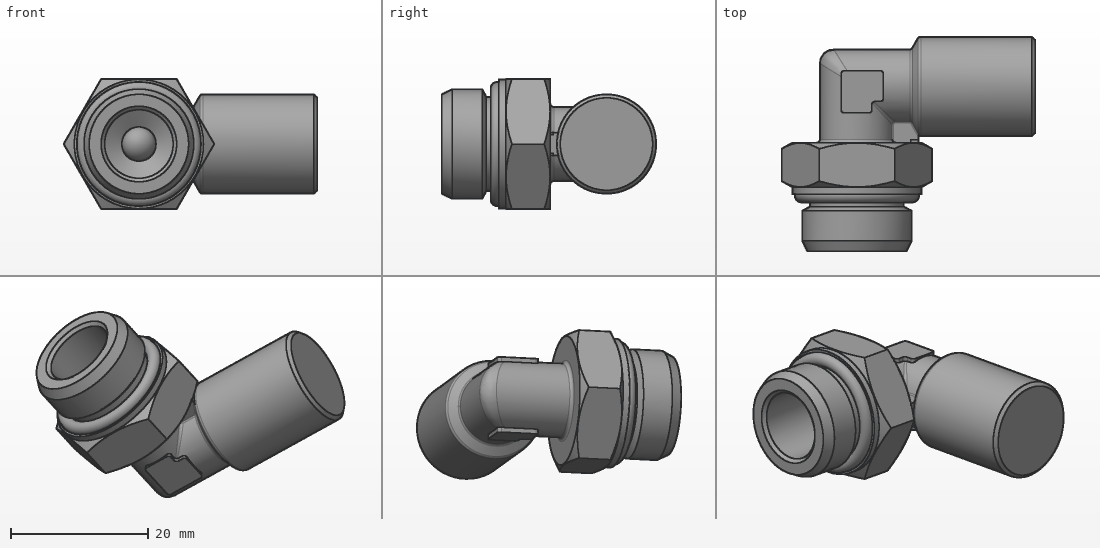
import cadquery as cq
import math


overall_length = 36.97

tube_diameter = 14.5
tube_shoulder_x = 9.0
tube_cone_slope = 60
tube_end_chamfer = 0.5
tube_shoulder_fillet = 0.5
tube_neck_fillet = 0.45

elbow_diameter = 10.8
elbow_corner_fillet = 2.0
elbow_crotch_fillet = 0.45
base_flare_radius = 0.5

hex_top_y = -8.17
hex_bottom_y = -14.68
collar_bottom_y = -15.68
ring_bottom_y = -16.9
neck_bottom_y = -17.5
thread_top_y = -18.1
thread_bottom_y = -22.45
plug_end_y = -24.0
hex_across_flats = 19.0
hex_chamfer_diameter = 18.8
hex_chamfer_angle = 30
collar_diameter = 18.8
ring_diameter = 18.1
ring_section_radius = 1.0
neck_diameter = 13.7
thread_diameter = 16.0
plug_end_diameter = 14.5

bore_diameter = 10
bore_chamfer = 0.5
bore_bottom_y = -14.05
seat_slope = 30
ball_diameter = 5.0

pad_height = 5.6
pad_size = 6.15
pad_notch = 1.65
pad_left_x = -2.3
pad_top_y = 2.3
pad_corner_fillet = 0.45

web_thickness = 3.25
web_fillet = 0.22
web_step_length = 1.1
web_step_height = 0.4
web_step_depth = 0.3

tolerance = 0.05

elbow_radius = elbow_diameter / 2
tube_radius = tube_diameter / 2
hex_corner_radius = hex_across_flats / math.sqrt(3)
tube_end_x = overall_length - hex_corner_radius
bore_radius = bore_diameter / 2
ball_radius = ball_diameter / 2
leg_length = -hex_top_y


def tan_deg(angle):
    return math.tan(math.radians(angle))


def revolve_about_y(profile):
    return profile.close().revolve(360, (0, 0, 0), (0, 1, 0))


def make_elbow():
    """Two equal cylinders mitred at the origin, rounded at the corner and in the crotch."""
    far = 2 * leg_length
    x_leg = cq.Workplane("YZ").circle(elbow_radius).extrude(leg_length, both=True)
    y_leg_plane = cq.Workplane("XZ").transformed(rotate=(0, 0, 180))
    y_leg = y_leg_plane.circle(elbow_radius).extrude(leg_length, both=True)
    mitre_half = (
        cq.Workplane("XY")
        .polyline([(-far, far), (far, far), (far, -far)])
        .close()
        .extrude(elbow_diameter, both=True)
    )
    sharp = x_leg.intersect(mitre_half).union(y_leg.cut(mitre_half))

    pole_half_width = pad_size - pad_notch + pad_left_x
    rounded_height = math.sqrt(elbow_radius**2 - pole_half_width**2)
    rounded = sharp.intersect(cq.Workplane("XY").box(2 * far, 2 * far, 2 * rounded_height))
    rounded = rounded.edges("%ELLIPSE").edges("<X").fillet(elbow_corner_fillet)
    crotch = cq.selectors.BoxSelector((tolerance, -far, -far), (far, -tolerance, far))
    rounded = rounded.edges("%ELLIPSE").edges(crotch).fillet(elbow_crotch_fillet)

    outer_corner = cq.Workplane("XY").box(far, far, far).translate((-far / 2, far / 2, 0))
    return rounded.union(sharp.cut(outer_corner), clean=True)


def make_pads():
    """Square pads on +Z and -Z, notched towards the crotch."""
    right_x = pad_left_x + pad_size
    bottom_y = pad_top_y - pad_size
    return (
        cq.Workplane("XY")
        .moveTo(pad_left_x, pad_top_y)
        .lineTo(right_x, pad_top_y)
        .lineTo(right_x, bottom_y + pad_notch)
        .lineTo(right_x - pad_notch, bottom_y + pad_notch)
        .lineTo(right_x - pad_notch, bottom_y)
        .lineTo(pad_left_x, bottom_y)
        .close()
        .extrude(pad_height, both=True)
        .edges("|Z")
        .fillet(pad_corner_fillet)
    )


def make_tube():
    """Closed tube body with a conical shoulder that runs into the elbow."""
    tube_start_x = leg_length / 2
    cone_length = (tube_radius - elbow_radius) / tan_deg(tube_cone_slope)
    tube = (
        cq.Workplane("XY")
        .moveTo(tube_start_x, 0)
        .lineTo(tube_start_x, elbow_radius)
        .lineTo(tube_shoulder_x - cone_length, elbow_radius)
        .lineTo(tube_shoulder_x, tube_radius)
        .lineTo(tube_end_x, tube_radius)
        .lineTo(tube_end_x, 0)
        .close()
        .revolve(360, (0, 0, 0), (1, 0, 0))
    )
    tube = tube.faces(">X").edges().chamfer(tube_end_chamfer)
    rims = (
        (tube_shoulder_x, tube_radius, tube_shoulder_fillet),
        (tube_shoulder_x - cone_length, elbow_radius, tube_neck_fillet),
    )
    for rim_x, rim_radius, fillet_radius in rims:
        reach = rim_radius + tolerance
        rim = cq.selectors.BoxSelector(
            (rim_x - tolerance, -reach, -reach), (rim_x + tolerance, reach, reach)
        )
        tube = tube.edges("%CIRCLE").edges(rim).fillet(fillet_radius)
    return tube


def add_web(body):
    """Add the flat web of the inner corner, blended into both legs and the shoulder."""
    web = (
        cq.Workplane("XY")
        .box(tube_shoulder_x, leg_length, web_thickness, centered=(False, False, True))
        .translate((0, hex_top_y, 0))
    )
    body = body.union(web)
    web_sides = (-web_thickness / 2, web_thickness / 2)
    blend_edges = [
        cq.selectors.BoxSelector(
            (elbow_radius / 2, hex_top_y + tolerance, side_z - tolerance),
            (tube_shoulder_x - tolerance, 0, side_z + tolerance),
        )
        for side_z in web_sides
    ]
    body = body.edges(blend_edges[0] + blend_edges[1]).fillet(web_fillet)

    step_x = tube_shoulder_x - web_step_length / 2
    step_y = hex_top_y + web_step_height / 2
    for side_z in web_sides:
        step = cq.Workplane("XY").box(web_step_length, web_step_height, 2 * web_step_depth)
        body = body.cut(step.translate((step_x, step_y, side_z)))
    return body


def make_hexagon():
    """Hexagon with corners on the X axis, chamfered on both ends."""
    chamfer_radius = hex_chamfer_diameter / 2
    chamfer_height = (hex_corner_radius - chamfer_radius) * tan_deg(hex_chamfer_angle)
    prism = (
        cq.Workplane("XZ", origin=(0, hex_top_y, 0))
        .polygon(6, 2 * hex_corner_radius)
        .extrude(hex_top_y - hex_bottom_y)
    )
    envelope = revolve_about_y(
        cq.Workplane("XY")
        .moveTo(0, hex_top_y)
        .lineTo(chamfer_radius, hex_top_y)
        .lineTo(hex_corner_radius, hex_top_y - chamfer_height)
        .lineTo(hex_corner_radius, hex_bottom_y + chamfer_height)
        .lineTo(chamfer_radius, hex_bottom_y)
        .lineTo(0, hex_bottom_y)
    )
    return prism.intersect(envelope)


def make_base_flare():
    """Concave flare where the elbow stands on the hexagon."""
    outer_radius = elbow_radius + base_flare_radius
    return revolve_about_y(
        cq.Workplane("XY")
        .moveTo(0, hex_top_y)
        .lineTo(outer_radius, hex_top_y)
        .radiusArc((elbow_radius, hex_top_y + base_flare_radius), base_flare_radius)
        .lineTo(0, hex_top_y + base_flare_radius)
    )


def make_plug():
    """Collar, sealing ring, neck and thread body below the hexagon."""
    ring_centre_x = ring_diameter / 2 - ring_section_radius
    ring_centre_y = ring_bottom_y + ring_section_radius
    ring_half_width = math.sqrt(ring_section_radius**2 - (collar_bottom_y - ring_centre_y) ** 2)
    return revolve_about_y(
        cq.Workplane("XY")
        .moveTo(0, hex_bottom_y)
        .lineTo(collar_diameter / 2, hex_bottom_y)
        .lineTo(collar_diameter / 2, collar_bottom_y)
        .lineTo(ring_centre_x + ring_half_width, collar_bottom_y)
        .threePointArc(
            (ring_centre_x, ring_bottom_y),
            (ring_centre_x - ring_half_width, collar_bottom_y),
        )
        .lineTo(neck_diameter / 2, collar_bottom_y)
        .lineTo(neck_diameter / 2, neck_bottom_y)
        .lineTo(thread_diameter / 2, thread_top_y)
        .lineTo(thread_diameter / 2, thread_bottom_y)
        .lineTo(plug_end_diameter / 2, plug_end_y)
        .lineTo(0, plug_end_y)
    )


def make_bore():
    """Chamfered bore whose conical seat ends around the ball."""
    seat_depth = (bore_radius - ball_radius) * tan_deg(seat_slope)
    seat_y = bore_bottom_y + seat_depth
    return revolve_about_y(
        cq.Workplane("XY")
        .moveTo(0, plug_end_y)
        .lineTo(bore_radius + bore_chamfer, plug_end_y)
        .lineTo(bore_radius, plug_end_y + bore_chamfer)
        .lineTo(bore_radius, bore_bottom_y)
        .lineTo(ball_radius, seat_y)
        .radiusArc((0, seat_y - ball_radius), ball_radius)
    )


result = add_web(make_elbow().union(make_tube()))
for body in (make_pads(), make_hexagon(), make_base_flare(), make_plug()):
    result = result.union(body)
result = result.cut(make_bore())